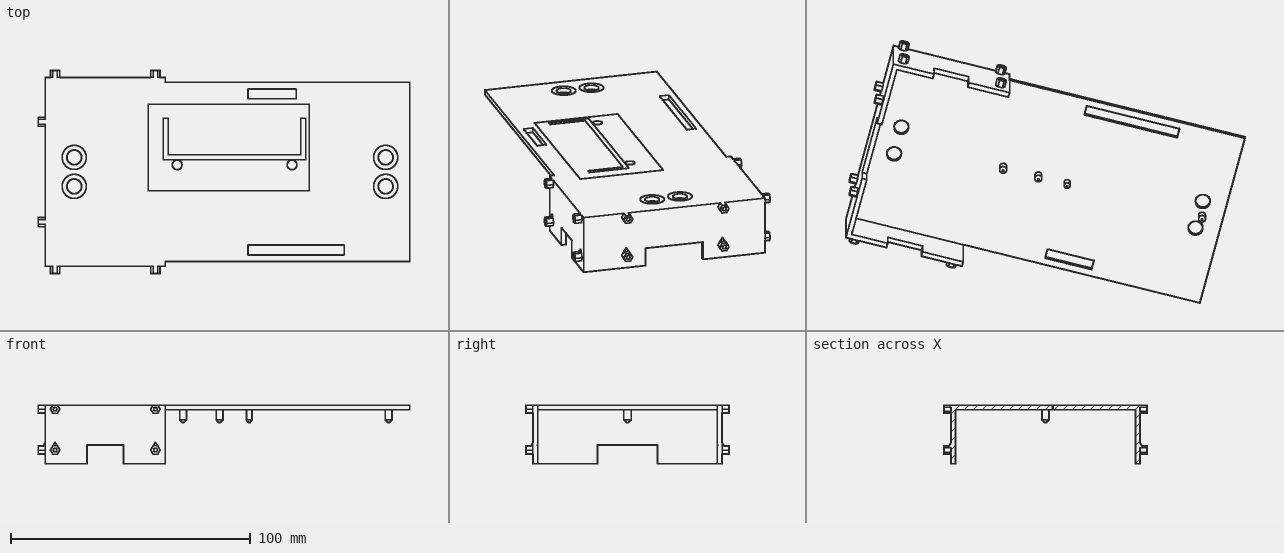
import cadquery as cq
import math

overall_length = 154.9
overall_width = 84.7
overall_height = 24.5

plate_length = 150.0
plate_thickness = 2.0
wall_thickness = 2.0
peg_length = overall_length - plate_length - wall_thickness
plate_width = overall_width - 2 * (wall_thickness + peg_length)
skirt_width = plate_width + 2 * wall_thickness
skirt_length = 50.0
skirt_left = -wall_thickness
skirt_middle = skirt_left + skirt_length / 2

notch_height = 7.7
end_notch_width = 25.0
side_notch_width = 15.0

peg_sides = 6
peg_flats = 3.4
peg_corners = peg_flats / math.cos(math.pi / peg_sides)
peg_top = peg_flats / 2
peg_bore = 1.5
peg_spacing = 41.8
peg_row_spacing = 17.0
upper_peg_z = -peg_top
lower_peg_z = upper_peg_z - peg_row_spacing
gusset_height = 1.47
gusset_width = peg_corners / 2
gusset_reach = 0.8

hole_diameter = 6.0
ring_diameter = 10.0
hole_end_inset = 10.0
hole_spacing = 12.1

slot_left = 82.5
slot_width = 4.0
slot_offset = 32.5
rear_slot_length = 20.0
front_slot_length = 40.0

mark_depth = 0.08
panel_left = 40.9
panel_front = -7.9
panel_length = 67.0
panel_width = 36.1
track_left = 47.2
track_front = 5.1
track_length = 59.3
track_width = 17.2
track_line = 2.0
dot_diameter = 4.0
dot_y = 3.0
dot_places = [53.0, 100.8]

pins = [(55.5, 3.0), (70.6, 3.0), (83.0, 2.5), (141.1, 3.0)]
pin_length = 5.3
pin_tip_height = 1.1
pin_tip_diameter = 0.6


def block(left, front, bottom, length, width, height):
    """Box placed by its lowest corner."""
    return cq.Workplane("XY").box(length, width, height, centered=False).translate((left, front, bottom))


def disc(x, y, diameter, bottom, height):
    """Upright cylinder standing on z = bottom."""
    return cq.Workplane("XY").circle(diameter / 2).extrude(height).translate((x, y, bottom))


def plate():
    return block(0, -plate_width / 2, -plate_thickness, plate_length, plate_width, plate_thickness)


def skirt():
    """End wall and two side walls, each with a notch in its lower edge."""
    walls = block(skirt_left, -skirt_width / 2, -overall_height, skirt_length, skirt_width, overall_height)
    inside = block(0, -plate_width / 2, -overall_height, skirt_length, plate_width, overall_height)
    end_notch = block(
        skirt_left, -end_notch_width / 2, -overall_height, wall_thickness, end_notch_width, notch_height
    )
    side_notch = block(
        skirt_middle - side_notch_width / 2, -skirt_width / 2, -overall_height,
        side_notch_width, skirt_width, notch_height,
    )
    return walls.cut(inside).cut(end_notch).cut(side_notch)


def peg():
    """Hollow peg pointing along -Y from the origin."""
    return (
        cq.Workplane("XZ")
        .polygon(peg_sides, peg_corners)
        .circle(peg_bore / 2)
        .extrude(peg_length)
    )


def gusset():
    """Pointed rib on the wall above a peg: widest at the peg, running out to a point."""
    tip_z = peg_top + gusset_height
    slope = (
        cq.Workplane("YZ")
        .polyline([(0, peg_top), (-gusset_reach, peg_top), (0, tip_z)])
        .close()
        .extrude(gusset_width / 2, both=True)
    )
    outline = (
        cq.Workplane("XZ")
        .polyline([(-gusset_width / 2, peg_top), (gusset_width / 2, peg_top), (0, tip_z)])
        .close()
        .extrude(gusset_reach)
    )
    return slope.intersect(outline)


def add_wall_pegs(body):
    """Four pegs on each wall; the lower ones carry a gusset."""
    upper = peg().translate((0, 0, upper_peg_z))
    lower = peg().union(gusset()).translate((0, 0, lower_peg_z))
    for along in (-peg_spacing / 2, peg_spacing / 2):
        for pegs in (upper, lower):
            moved = pegs.translate((along, 0, 0))
            front = moved.translate((skirt_middle, -skirt_width / 2, 0))
            rear = front.mirror("XZ")
            end = moved.rotate((0, 0, 0), (0, 0, 1), -90).translate((skirt_left, 0, 0))
            body = body.union(front).union(rear).union(end)
    return body


def add_pins(body):
    """Cone-tipped pins hanging from the plate along its centre line."""
    shank_end = -plate_thickness - pin_length + pin_tip_height
    for x, diameter in pins:
        shank = disc(x, 0, diameter, shank_end, -plate_thickness - shank_end)
        tip = (
            cq.Workplane("XY", origin=(x, 0, shank_end))
            .circle(diameter / 2)
            .workplane(offset=-pin_tip_height)
            .circle(pin_tip_diameter / 2)
            .loft()
        )
        pin = shank.union(tip)
        body = body.union(pin)
    return body


def cut_slots(body):
    for length, y in ((rear_slot_length, slot_offset), (front_slot_length, -slot_offset)):
        slot = block(slot_left, y - slot_width / 2, -plate_thickness, length, slot_width, plate_thickness)
        body = body.cut(slot)
    return body


def cut_ringed_holes(body):
    for x in (hole_end_inset, plate_length - hole_end_inset):
        for y in (-hole_spacing / 2, hole_spacing / 2):
            body = body.cut(disc(x, y, ring_diameter, -mark_depth, mark_depth))
            body = body.cut(disc(x, y, hole_diameter, -plate_thickness, plate_thickness))
    return body


def cut_panel_marks(body):
    """Panel recess, with the track and the dots sunk one step deeper."""
    panel = block(panel_left, panel_front, -mark_depth, panel_length, panel_width, mark_depth)
    floor = -2 * mark_depth
    track = block(track_left, track_front, floor, track_length, track_width, mark_depth)
    track_core = block(
        track_left + track_line, track_front + track_line, floor,
        track_length - 2 * track_line, track_width, mark_depth,
    )
    body = body.cut(panel).cut(track.cut(track_core))
    for x in dot_places:
        body = body.cut(disc(x, dot_y, dot_diameter, floor, mark_depth))
    return body


result = plate().union(skirt())
result = add_wall_pegs(result)
result = add_pins(result)
result = cut_slots(result)
result = cut_ringed_holes(result)
result = cut_panel_marks(result)